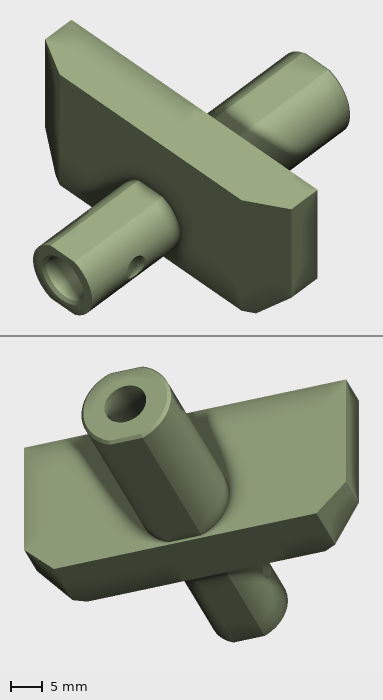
import cadquery as cq

plate_width = 54.0
plate_height = 25.0
plate_thickness = 10.0
plate_bottom = -7.5
bevel_width = 7.0
bevel_depth = 4.0
corner_cut = 5.0

total_length = 58.0
front_length = 20.0
front_diameter = 13.0
front_across_flats = 11.9
back_length = total_length - plate_thickness - front_length
back_diameter = 15.0
back_across_flats = 14.0
back_chamfer = 0.45

bore_diameter = 7.0
counterbore_diameter = 8.1
counterbore_depth = front_length
mouth_chamfer = 0.5
cross_hole_diameter = 4.2
cross_hole_from_end = front_length / 2

front_end = -front_length
back_end = plate_thickness + back_length


def rod(diameter, start, length):
    """Cylinder along +Y, starting at Y = start."""
    plane = cq.Workplane("XZ", origin=(0, start, 0))
    return plane.circle(diameter / 2).extrude(-length)


def trim_flats(shaft, across_flats):
    """Keep only the part of a shaft between its top and bottom flats."""
    slab = cq.Workplane("XY").box(2 * total_length, 4 * total_length, across_flats)
    return shaft.intersect(slab)


def make_plate():
    half = plate_width / 2
    top = plate_bottom + plate_height
    plan = (
        cq.Workplane("XY", origin=(0, 0, plate_bottom))
        .moveTo(-half + bevel_width, 0)
        .lineTo(half - bevel_width, 0)
        .lineTo(half, bevel_depth)
        .lineTo(half, plate_thickness)
        .lineTo(-half, plate_thickness)
        .lineTo(-half, bevel_depth)
        .close()
        .extrude(plate_height)
    )
    outline = (
        cq.Workplane("XZ")
        .moveTo(-half, top)
        .lineTo(half, top)
        .lineTo(half, plate_bottom + corner_cut)
        .lineTo(half - corner_cut, plate_bottom)
        .lineTo(-half + corner_cut, plate_bottom)
        .lineTo(-half, plate_bottom + corner_cut)
        .close()
        .extrude(-plate_thickness)
    )
    return plan.intersect(outline)


front_shaft = trim_flats(
    rod(front_diameter, front_end, front_length + plate_thickness), front_across_flats
)
back_shaft = trim_flats(
    rod(back_diameter, 0, back_end), back_across_flats
).faces(">Y").chamfer(back_chamfer)

bore = rod(bore_diameter, front_end, total_length)
counterbore = rod(counterbore_diameter, front_end, counterbore_depth)
mouth_diameter = counterbore_diameter + 2 * mouth_chamfer
mouth = (
    cq.Workplane("XZ", origin=(0, front_end, 0))
    .circle(mouth_diameter / 2)
    .workplane(offset=-mouth_chamfer)
    .circle(counterbore_diameter / 2)
    .loft()
)
cross_hole = (
    cq.Workplane("YZ", origin=(0, front_end + cross_hole_from_end, 0))
    .circle(cross_hole_diameter / 2)
    .extrude(front_diameter, both=True)
)

result = (
    make_plate()
    .union(front_shaft)
    .union(back_shaft)
    .cut(bore)
    .cut(counterbore)
    .cut(mouth)
    .cut(cross_hole)
)